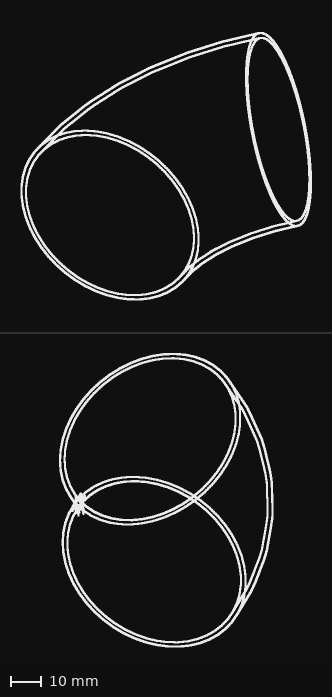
import cadquery as cq

INCH = 25.4
outer_diameter = 2.5 * INCH
wall_thickness = 1.65
bend_radius = 1.5 * outer_diameter
bend_angle = 45.0

inner_diameter = outer_diameter - 2 * wall_thickness


def make_elbow():
    """Turn the tube's ring section about the bend axis, from the XZ plane toward +Y and +X."""
    ring = cq.Workplane("XZ").circle(outer_diameter / 2).circle(inner_diameter / 2)

    axis_upper_point = (bend_radius, outer_diameter / 2)
    axis_lower_point = (bend_radius, -outer_diameter / 2)
    return ring.revolve(bend_angle, axis_upper_point, axis_lower_point)


result = make_elbow()